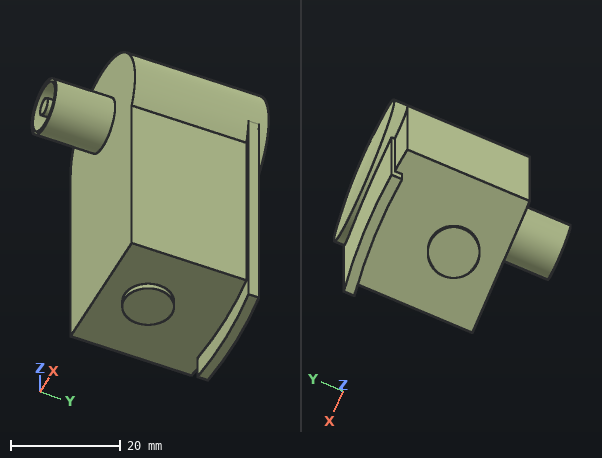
import cadquery as cq
import math


drum_radius = 14.09
drum_length = 27.0
dome_height = 1.0
crown_radius = (drum_radius**2 + dome_height**2) / (2 * dome_height)

body_left = -drum_radius
body_right = 12.65
body_bottom = -41.65
body_crown_y = 25.4

plate_left = -9.5
plate_right = 13.97
plate_bottom = -46.5
plate_crown_y = 26.05
plate_thickness = 2.1

socket_length = 11.85
socket_radius = 5.42
socket_bore_radius = 4.8
pin_radius = 1.67

boss_radius = 4.75
boss_height = 1.2
boss_y = 9.15


def crown_point(x, peak_y, radius=crown_radius):
    """XY point at a given X on a crowned surface whose peak lies at X = 0."""
    return (x, peak_y - radius + math.sqrt(radius**2 - x**2))


def cylinder_along_y(radius, start_y, end_y):
    """Cylinder on the drum axis between two Y positions."""
    profile = cq.Workplane("XZ", origin=(0, start_y, 0)).circle(radius)
    return profile.extrude(start_y - end_y)


def make_drum():
    """Drum revolved about the Y axis, its back closed by a spherical dome."""
    arc_middle = crown_point(drum_radius / 2, drum_length + dome_height)
    profile = (
        cq.Workplane("XY")
        .lineTo(drum_radius, 0)
        .lineTo(drum_radius, drum_length)
        .threePointArc(arc_middle, (0, drum_length + dome_height))
        .close()
    )
    return profile.revolve(360, (0, 0, 0), (0, 1, 0))


def make_body():
    """Box from the drum axis down, with a crowned back face."""
    profile = (
        cq.Workplane("XY", origin=(0, 0, body_bottom))
        .moveTo(body_left, 0)
        .lineTo(body_right, 0)
        .lineTo(*crown_point(body_right, body_crown_y))
        .threePointArc((0, body_crown_y), crown_point(body_left, body_crown_y))
        .close()
    )
    return profile.extrude(-body_bottom)


def make_plate():
    """Plate of even thickness, following the crown of the body."""
    inner_radius = crown_radius - plate_thickness
    inner_crown_y = plate_crown_y - plate_thickness
    profile = (
        cq.Workplane("XY", origin=(0, 0, plate_bottom))
        .moveTo(*crown_point(plate_left, plate_crown_y))
        .threePointArc((0, plate_crown_y), crown_point(plate_right, plate_crown_y))
        .lineTo(*crown_point(plate_right, inner_crown_y, inner_radius))
        .threePointArc((0, inner_crown_y), crown_point(plate_left, inner_crown_y, inner_radius))
        .close()
    )
    return profile.extrude(-plate_bottom)


def make_socket():
    """Open sleeve with a flush centre pin, both standing on the front face."""
    sleeve = cylinder_along_y(socket_radius, 0, -socket_length)
    bore = cylinder_along_y(socket_bore_radius, 0, -socket_length)
    pin = cylinder_along_y(pin_radius, 0, -socket_length)
    return sleeve.cut(bore).union(pin)


def make_boss():
    """Low round boss under the body."""
    profile = cq.Workplane("XY", origin=(0, boss_y, body_bottom)).circle(boss_radius)
    return profile.extrude(-boss_height)


result = make_drum().union(make_body()).union(make_plate()).union(make_socket()).union(make_boss())